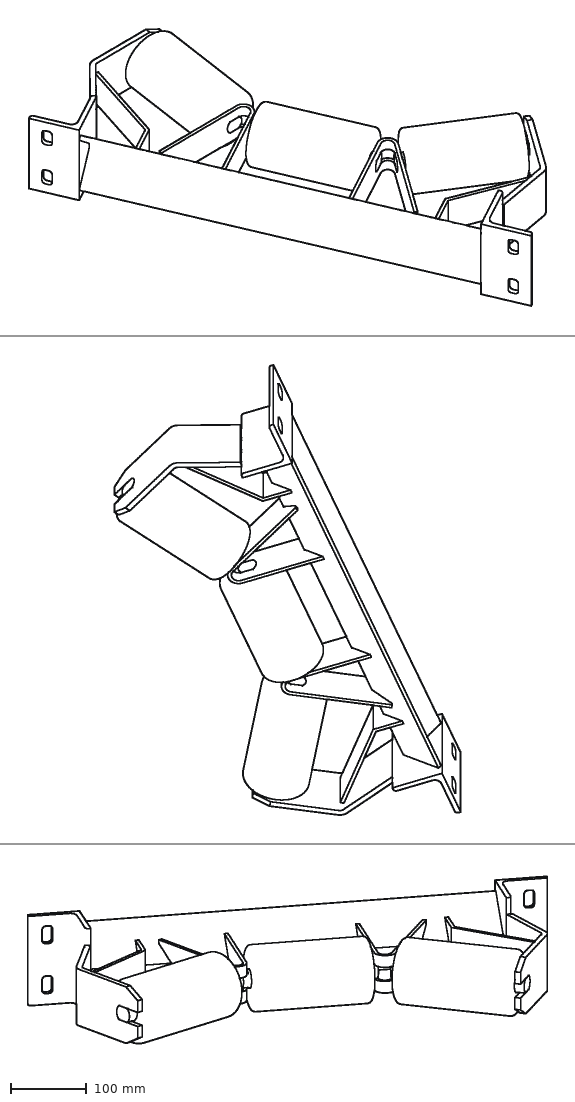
import cadquery as cq
import math


roller_diameter = 89.0
roller_length = 160.0
roller_edge_round = 5.0
roller_tilt = 30.0
middle_roller_y = 134.5
side_roller_x = 191.0
side_roller_y = 187.0
axle_diameter = 25.0
axle_flat_width = 19.5
axle_shoulder = 3.5
seat_offset = 86.0

angle_leg = 70.0
angle_thickness = 7.0
angle_root_round = 9.0
angle_toe_round = 4.0
frame_length = 700.0
foot_height = 125.0
beam_half_length = frame_length / 2 - angle_leg
beam_ridge_y = (angle_leg + angle_thickness) * math.sqrt(0.5)

slot_width = 14.0
slot_length = 24.5
slot_edge_distance = 25.0
slot_spacing = 70.0
slot_corner_round = 5.0

arm_thickness = 8.0
arm_width = 79.0
arm_lean = 20.0
arm_bend_round = 7.0
arm_tip = 29.0
arm_corner_width = 13.0
arm_corner_length = 23.0

strip_thickness = 5.0
strip_width = 52.5
strip_end_y = 26.0
saddle_bend_radius = 12.0
saddle_slope_end_y = 32.0
strut_x = 208.5
strut_bend_y = 68.0
strut_top_x = 308.0
strut_top_y = 151.0

tilt = math.radians(roller_tilt)
lean = math.radians(arm_lean)


def side_point(along, above):
    """XY point given along the left roller's axis (inward) and square to it, from its centre."""
    x = -side_roller_x + along * math.cos(tilt) + above * math.sin(tilt)
    y = side_roller_y - along * math.sin(tilt) + above * math.cos(tilt)
    return x, y


def at_left(body):
    """Move a body built about the origin along X to the left roller's place."""
    turned = body.rotate((0, 0, 0), (0, 0, 1), -roller_tilt)
    return turned.translate((-side_roller_x, side_roller_y, 0))


def at_middle(body):
    """Move a body built about the origin along X to the middle roller's place."""
    return body.translate((0, middle_roller_y, 0))


def mirrored(body):
    return body.mirror("YZ")


def plate(outline, width):
    """Prism of a closed XY outline, centred on z = 0."""
    return outline.extrude(width / 2, both=True)


def rod(diameter, start, end):
    """Cylinder along X."""
    return cq.Workplane("YZ").workplane(offset=start).circle(diameter / 2).extrude(end - start)


def block(start, end, bottom, top, width):
    """Box along X from start to end and along Y from bottom to top, centred on z = 0."""
    size = (end - start, top - bottom, width)
    return cq.Workplane("XY").box(*size, centered=(False, False, True)).translate((start, bottom, 0))


def seat_slot(start, end, height):
    """Cutter for an axle seat: rounded bottom, straight sides, open toward +Y."""
    radius = axle_diameter / 2
    channel = rod(axle_diameter, start, end).union(block(start, end, 0, height, axle_diameter))
    return channel.intersect(block(start, end, -radius, height, axle_flat_width))


def angle_section():
    """Outline of the angle: outer corner at the origin, legs along +X and +Y."""
    t, toe = angle_thickness, angle_toe_round
    toe_sag = toe * (1 - math.sqrt(0.5))
    root_mid = t + angle_root_round * (1 - math.sqrt(0.5))
    root_end = t + angle_root_round
    return (
        cq.Workplane("XY")
        .lineTo(angle_leg, 0)
        .lineTo(angle_leg, t - toe)
        .threePointArc((angle_leg - toe_sag, t - toe_sag), (angle_leg - toe, t))
        .lineTo(root_end, t)
        .threePointArc((root_mid, root_mid), (t, root_end))
        .lineTo(t, angle_leg - toe)
        .threePointArc((t - toe_sag, angle_leg - toe_sag), (t - toe, angle_leg))
        .lineTo(0, angle_leg)
        .close()
    )


def make_beam():
    """Angle along X with its ridge toward +Y and both legs sloping at 45 degrees."""
    return (
        plate(angle_section(), 2 * beam_half_length)
        .rotate((0, 0, 0), (0, 0, 1), -135)
        .rotate((0, 0, 0), (0, 1, 0), 90)
        .translate((0, beam_ridge_y, 0))
    )


def beam_wedge():
    """Solid 45-degree wedge under the beam's ridge, which notches the strips that straddle it."""
    outline = [(beam_ridge_y, 0), (0, beam_ridge_y), (0, -beam_ridge_y)]
    wedge = cq.Workplane("YZ").polyline(outline).close()
    return plate(wedge, 2 * beam_half_length)


def make_foot():
    """Left foot: an angle on y = 0 with two fixing slots in its outward flange."""
    slot_x = -frame_length / 2 + slot_edge_distance
    slots = (
        cq.Workplane("XZ")
        .pushPoints([(slot_x, -slot_spacing / 2), (slot_x, slot_spacing / 2)])
        .rect(slot_width, slot_length)
        .extrude(-2 * angle_thickness)
        .edges("|Y")
        .fillet(slot_corner_round)
    )
    angle = mirrored(plate(angle_section(), foot_height)).translate((-beam_half_length, 0, 0))
    return angle.cut(slots)


def arm_base(depth):
    """Point on the foot's top edge where the arm's face at this depth starts (0 = inner face)."""
    return -beam_half_length - depth / math.cos(lean), angle_leg


def arm_bend(depth):
    """Corner where the leaning and the tilted stretch of the arm's face at this depth meet."""
    base_x, base_y = arm_base(depth)
    seat_x, seat_y = side_point(-seat_offset - depth, 0)
    offset = base_x - seat_x + seat_y * math.tan(tilt) + base_y * math.tan(lean)
    y = offset / (math.tan(tilt) + math.tan(lean))
    return base_x - (y - base_y) * math.tan(lean), y


def make_arm():
    """Left arm: leans outward from the foot, then turns square to the roller's axle."""
    inner_bend = arm_bend(0)
    outer_bend = arm_bend(arm_thickness)
    outer_face = -seat_offset - arm_thickness
    outline = [
        arm_base(0),
        inner_bend,
        side_point(-seat_offset, arm_tip),
        side_point(outer_face, arm_tip),
        outer_bend,
        arm_base(arm_thickness),
    ]
    arm = plate(cq.Workplane("XY").polyline(outline).close(), arm_width)
    arm = arm.edges(cq.NearestToPointSelector((*inner_bend, 0))).fillet(arm_bend_round)
    outer_round = arm_bend_round + arm_thickness
    arm = arm.edges(cq.NearestToPointSelector((*outer_bend, 0))).fillet(outer_round)

    edge_z = arm_width / 2
    corner_outline = [
        (arm_tip, edge_z),
        (arm_tip - arm_corner_length, edge_z),
        (arm_tip, edge_z - arm_corner_width),
    ]
    corner = (
        cq.Workplane("YZ").workplane(offset=outer_face)
        .polyline(corner_outline).close().extrude(arm_thickness)
    )
    slot = seat_slot(outer_face, -seat_offset, arm_tip)
    for cutter in (corner, corner.mirror("XY"), slot):
        arm = arm.cut(at_left(cutter))
    return arm


def make_strut():
    """Left strut: upright on the beam, then sloping outward to the bend of the arm."""
    half = strip_thickness / 2
    slope = math.atan2(strut_top_y - strut_bend_y, strut_top_x - strut_x)
    miter = half * math.tan((math.pi / 2 - slope) / 2)
    across_x = half * math.sin(slope)
    across_y = half * math.cos(slope)
    outline = [
        (-strut_x - half, strip_end_y),
        (-strut_x + half, strip_end_y),
        (-strut_x + half, strut_bend_y + miter),
        (-strut_top_x + across_x, strut_top_y + across_y),
        (-strut_top_x - across_x, strut_top_y - across_y),
        (-strut_x - half, strut_bend_y - miter),
    ]
    strut = plate(cq.Workplane("XY").polyline(outline).close(), strip_width)
    return strut.cut(beam_wedge())


def make_frame():
    """Beam welded to both feet, arms and struts."""
    side = make_foot().union(make_arm()).union(make_strut())
    return make_beam().union(side).union(mirrored(side))


def make_saddle():
    """Left saddle: strip bent over an arch, with a sloping leg and an upright leg on the beam."""
    half = strip_thickness / 2
    radius = saddle_bend_radius
    arch_reach = seat_offset + half + radius
    arch_x = -arch_reach
    arch_run = (arch_x + side_roller_x) * math.cos(tilt)
    arch_y = side_roller_y + (arch_run - arch_reach) / math.sin(tilt)
    leg_length = (arch_y + radius * math.sin(tilt) - saddle_slope_end_y) / math.cos(tilt)

    def face_points(r):
        """Leg end, arch start, arch top, arch end and leg end of the strip face at this radius."""
        start_x = arch_x - r * math.cos(tilt)
        start_y = arch_y + r * math.sin(tilt)
        return [
            (start_x - leg_length * math.sin(tilt), start_y - leg_length * math.cos(tilt)),
            (start_x, start_y),
            (arch_x, arch_y + r),
            (arch_x + r, arch_y),
            (arch_x + r, strip_end_y),
        ]

    outer = face_points(radius + half)
    inner = face_points(radius - half)
    outline = (
        cq.Workplane("XY")
        .moveTo(*outer[0])
        .lineTo(*outer[1])
        .threePointArc(outer[2], outer[3])
        .lineTo(*outer[4])
        .lineTo(*inner[4])
        .lineTo(*inner[3])
        .threePointArc(inner[2], inner[1])
        .lineTo(*inner[0])
        .close()
    )
    slot_height = 2 * axle_diameter
    side_slot = seat_slot(seat_offset, arch_reach, slot_height)
    middle_slot = seat_slot(-arch_reach, -seat_offset, slot_height)
    saddle = plate(outline, strip_width)
    return saddle.cut(at_left(side_slot)).cut(at_middle(middle_slot)).cut(beam_wedge())


def make_roller():
    """Roller along X about the origin, with rounded ends and a bore for its axle."""
    half = roller_length / 2
    drum = rod(roller_diameter, -half, half).faces("<X or >X").edges().fillet(roller_edge_round)
    return drum.cut(rod(axle_diameter, -half, half))


def make_axle(start_plate, end_plate):
    """Axle along X with flats at both ends, flush with the far faces of plates this thick."""
    start = -seat_offset - start_plate
    end = seat_offset + end_plate
    shoulder = roller_length / 2 + axle_shoulder
    radius = axle_diameter / 2
    flats = block(start, end, -radius, radius, axle_flat_width)
    flat_bar = rod(axle_diameter, start, end).intersect(flats)
    return flat_bar.union(rod(axle_diameter, -shoulder, shoulder))


frame = make_frame()
middle_roller = at_middle(make_roller())
middle_axle = at_middle(make_axle(strip_thickness, strip_thickness))
bodies = [frame, middle_roller, middle_axle]

left_saddle = make_saddle()
left_roller = at_left(make_roller())
left_axle = at_left(make_axle(arm_thickness, strip_thickness))
for left_body in (left_saddle, left_roller, left_axle):
    bodies += [left_body, mirrored(left_body)]

result = cq.Compound.makeCompound([body.solids().val() for body in bodies])